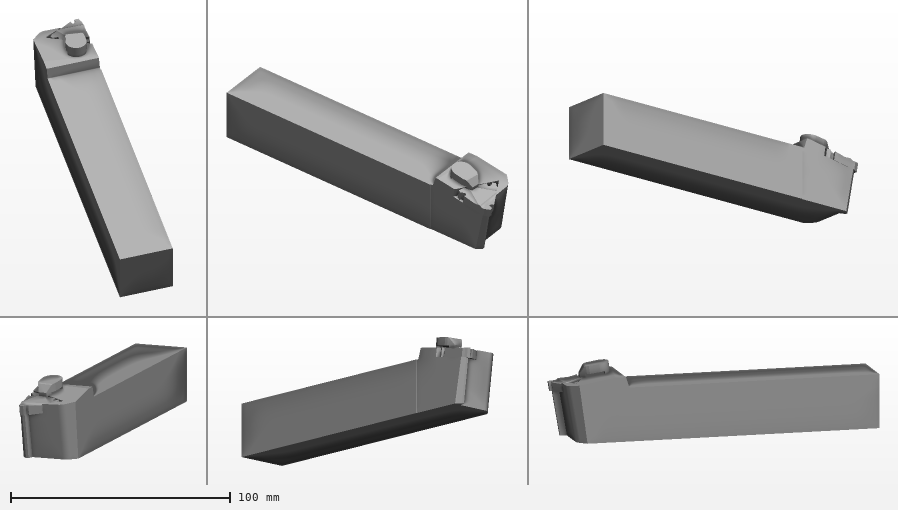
import cadquery as cq
import math


total_length = 150.0
shank_width = 25.0
shank_height = 25.0
head_height = 30.0
head_relief_length = 33.5
head_relief_depth = 0.3

shoulder_top_x = 30.6
shoulder_run = 1.6
shoulder_fillet = 0.5

rake_angle = 9.5
seat_inset = 0.08
lead_angle = 1.5

head_front = 4.0
corner_chamfer_start = -20.2
corner_radius = 4.5
nose_front = 1.0
nose_root_y = -3.6
nose_lower_y = -2.8
nose_upper_y = -1.6
nose_back_x = 3.0

inscribed_circle = 12.9
insert_thickness = 4.5
apex_overhang = 2.1
tip_flank_y = -5.1
land_length = 3.5
groove_length = 5.1
groove_sag = 0.2

clamp_center_x = 23.0
clamp_center_y = -8.7
clamp_turn = -8.0
clamp_radius = 4.8
clamp_gap = 1.42
clamp_thickness = 3.8
clamp_tip_length = 9.5
clamp_tip_half_width = 2.0
clamp_cheek_length = 6.2
clamp_cheek_half_width = 3.9
clamp_shoulder_length = 4.8
clamp_shoulder_half_width = 4.4
clamp_tip_height = 1.8
clamp_front_run = 2.7
clamp_edge_run = 0.6
clamp_edge_drop = 0.3
clamp_pad_length = 2.4
clamp_heel_start = 2.0

margin = 7.5
far = 2 * total_length
rake_slope = math.tan(math.radians(rake_angle))
lead_slope = math.tan(math.radians(lead_angle))
flank_slope = math.tan(math.radians(60))
triangle_side = inscribed_circle * math.sqrt(3)
insert_center = (triangle_side / 2 - apex_overhang, -inscribed_circle / 2)
corner_angles = (0, 120, 240)

seat = cq.Plane(
    origin=(0, shank_width - seat_inset, shank_height),
    xDir=(1 + lead_slope**2, lead_slope * rake_slope, rake_slope),
    normal=(-rake_slope, lead_slope, 1),
)


def seat_prism(points, bottom, top):
    """Prism over an outline in the seat plane, between two heights above that plane."""
    return cq.Workplane(seat).workplane(offset=bottom).polyline(points).close().extrude(top - bottom)


def section_plane(plane, origin):
    """Plane along the x axis and normal of another plane, facing its -y direction."""
    return cq.Plane(origin=origin, xDir=plane.xDir, normal=-plane.yDir)


def turned(point, angle):
    """Point of the seat plane turned about the insert's centre."""
    cosine = math.cos(math.radians(angle))
    sine = math.sin(math.radians(angle))
    dx = point[0] - insert_center[0]
    dy = point[1] - insert_center[1]
    return (insert_center[0] + cosine * dx - sine * dy, insert_center[1] + sine * dx + cosine * dy)


def insert_blank():
    """Triangle with the same ground thread profile at each corner."""
    tip_profile = [
        (2.4, 0), (1.2, -0.6), (0, -1.0),
        (0, -2.8), (1.2, -2.8), (1.4, -3.3), (2.2, -3.3), (2.2, -4.6),
        (-apex_overhang - tip_flank_y / flank_slope, tip_flank_y),
    ]
    outline = [turned(point, angle) for angle in corner_angles for point in tip_profile]
    return seat_prism(outline, -insert_thickness, 0)


def chip_groove():
    """Tool that cuts the falling land and the concave rise behind it at the first tip."""
    land_drop = land_length * rake_slope
    rise_middle = ((land_length + groove_length) / 2 + groove_sag, -land_drop / 2 - groove_sag)
    return (
        cq.Workplane(section_plane(seat, seat.toWorldCoords((0, margin, 0))))
        .moveTo(-margin, margin * rake_slope)
        .lineTo(land_length, -land_drop)
        .threePointArc(rise_middle, (groove_length, 0))
        .lineTo(groove_length, margin)
        .lineTo(-margin, margin)
        .close()
        .extrude(triangle_side)
    )


def make_insert():
    insert = insert_blank()
    groove = chip_groove()
    axis_start = seat.toWorldCoords((*insert_center, 0)).toTuple()
    axis_end = seat.toWorldCoords((*insert_center, 1.5)).toTuple()
    for angle in corner_angles:
        insert = insert.cut(groove.rotate(axis_start, axis_end, angle))
    return insert


def holder_blank():
    """Shank and raised head, with the filleted shoulder and the set-in head side."""
    shoulder_bottom_x = shoulder_top_x + shoulder_run
    profile = [
        (0, 0), (total_length, 0), (total_length, shank_height),
        (shoulder_bottom_x, shank_height), (shoulder_top_x, head_height), (0, head_height),
    ]
    blank = cq.Workplane("XZ").polyline(profile).close().extrude(-shank_width)
    shoulder_foot = (shoulder_bottom_x, shank_width / 2, shank_height)
    blank = blank.edges(cq.selectors.NearestToPointSelector(shoulder_foot)).fillet(shoulder_fillet)
    relief = cq.Workplane("XY").box(head_relief_length, head_relief_depth, head_height, centered=False)
    return blank.cut(relief.translate((0, shank_width - head_relief_depth, 0)))


def head_envelope():
    """Prism square to the seat plane that bounds the front, the chamfered corner and the nose."""
    outline = [
        (head_front, corner_chamfer_start), (head_front, nose_root_y),
        (nose_front, nose_lower_y), (nose_front, nose_upper_y),
        (nose_back_x, 0), (nose_back_x + margin, margin), (far, margin),
        (far, corner_chamfer_start - shank_width),
        (head_front + shank_width, corner_chamfer_start - shank_width),
    ]
    envelope = seat_prism(outline, -far, far)
    corner = seat.toWorldCoords((head_front, corner_chamfer_start, 0)).toTuple()
    return envelope.edges(cq.selectors.NearestToPointSelector(corner)).fillet(corner_radius)


def insert_pocket():
    """Sharp-cornered triangle that seats the insert, open toward +Y."""
    spread = margin / flank_slope
    outline = [
        (-apex_overhang - spread, margin),
        (insert_center[0], -triangle_side / 2 * flank_slope),
        (triangle_side - apex_overhang + spread, margin),
    ]
    return seat_prism(outline, -insert_thickness, margin)


def make_clamp():
    """Round-ended arm that stands on a heel and presses the insert with a pad."""
    center = seat.toWorldCoords((clamp_center_x, clamp_center_y, 0))
    clamp_plane = cq.Plane(origin=center, xDir=seat.xDir, normal=seat.zDir).rotated((0, 0, clamp_turn))
    tip = -clamp_tip_length
    pad_end = tip + clamp_pad_length
    front_end = tip + clamp_front_run
    top = clamp_gap + clamp_thickness
    plan = (
        cq.Workplane(clamp_plane)
        .moveTo(tip, clamp_tip_half_width)
        .lineTo(tip, -clamp_tip_half_width)
        .lineTo(-clamp_cheek_length, -clamp_cheek_half_width)
        .lineTo(-clamp_shoulder_length, -clamp_shoulder_half_width)
        .lineTo(0, -clamp_radius)
        .threePointArc((clamp_radius, 0), (0, clamp_radius))
        .lineTo(-clamp_shoulder_length, clamp_shoulder_half_width)
        .lineTo(-clamp_cheek_length, clamp_cheek_half_width)
        .close()
        .extrude(top)
    )
    side_profile = [
        (tip, 0), (tip, clamp_tip_height), (front_end, top - clamp_edge_drop),
        (front_end + clamp_edge_run, top), (clamp_radius, top), (clamp_radius, 0),
        (clamp_heel_start, 0), (clamp_heel_start, clamp_gap), (pad_end, clamp_gap), (pad_end, 0),
    ]
    side = cq.Workplane(section_plane(clamp_plane, center)).polyline(side_profile).close()
    return plan.intersect(side.extrude(clamp_radius, both=True))


def make_holder():
    above_seat = cq.Workplane(seat).rect(far, far).extrude(far)
    body = holder_blank().intersect(head_envelope()).cut(above_seat).cut(insert_pocket())
    return body.union(make_clamp())


holder = make_holder()
insert = make_insert()
result = cq.Compound.makeCompound([holder.solids().val(), insert.solids().val()])